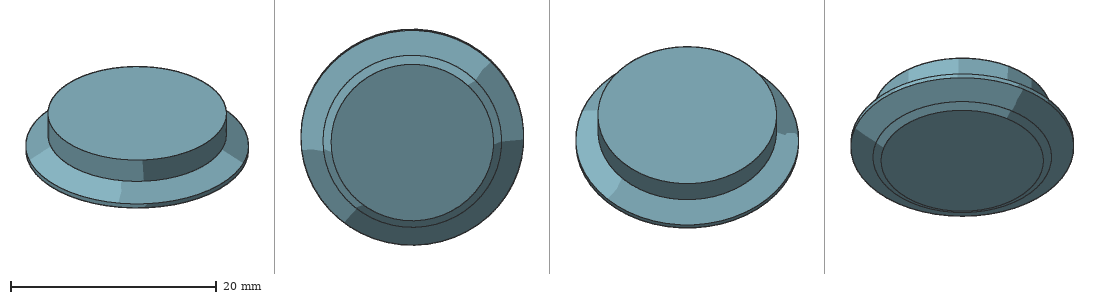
import cadquery as cq
import math

ring_diameter = 21.7
core_diameter = 17.38
total_height = 5.85
rim_height = 0.48
core_taper_height = 0.45
slope_angle = 30.0

ring_radius = ring_diameter / 2
core_radius = core_diameter / 2
slope = math.tan(math.radians(slope_angle))
ring_slope_height = (ring_radius - core_radius) * slope
core_bottom_radius = core_radius - core_taper_height / slope
rim_bottom = core_taper_height + ring_slope_height
rim_top = rim_bottom + rim_height
ring_top = rim_top + ring_slope_height


def revolve_profile(points):
    """Revolve a closed (radius, height) outline about the Z axis."""
    return cq.Workplane("XZ").polyline(points).close().revolve(360, (0, 0), (0, 1))


def make_core():
    """Solid round plug whose bottom end continues the slope of the ring."""
    return revolve_profile([
        (0, 0),
        (core_bottom_radius, 0),
        (core_radius, core_taper_height),
        (core_radius, total_height),
        (0, total_height),
    ])


def make_ring():
    """Ring around the core, sloping above and below to a narrow rim."""
    return revolve_profile([
        (core_radius, core_taper_height),
        (ring_radius, rim_bottom),
        (ring_radius, rim_top),
        (core_radius, ring_top),
    ])


core = make_core()
ring = make_ring()
result = cq.Compound.makeCompound([core.val(), ring.val()])